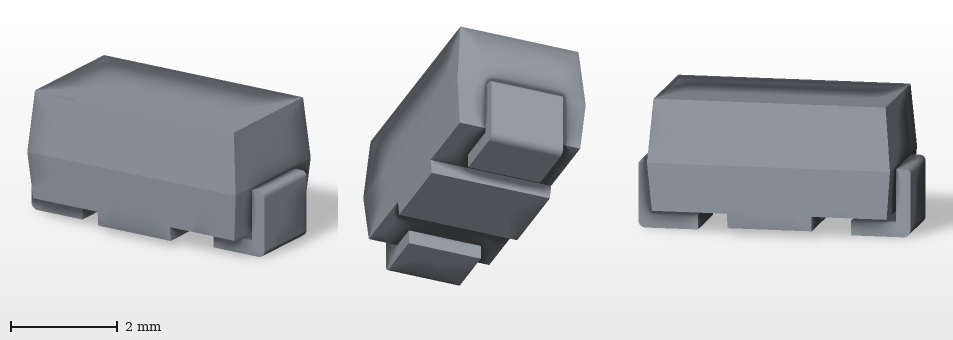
import cadquery as cq

overall_length = 5.2
overall_height = 2.56
parting_length = 4.645
parting_width = 2.6
parting_height = 1.35
draft_inset = 0.105

underside_height = 0.42
standoff_height = 0.14
standoff_length = 1.61

band_start_x = -1.715
band_length = 0.395
band_depth = 0.045

terminal_width = 1.455
upright_thickness = 0.275
upright_height = 1.3
upright_top_radius = 0.105
upright_bottom_radius = 0.14
foot_thickness = 0.28
foot_inner_x = 1.46

drafted_length = parting_length - 2 * draft_inset
drafted_width = parting_width - 2 * draft_inset
upright_inner_x = overall_length / 2 - upright_thickness


def block(length, width, height, center_x, bottom_z):
    """Box centred on Y, placed by its middle in X and its bottom in Z."""
    base = cq.Workplane("XY", origin=(center_x, 0, bottom_z))
    return base.box(length, width, height, centered=(True, True, False))


def drafted_half(end_height):
    """Tapered block from the parting plane to a smaller rectangle at end_height."""
    return (
        cq.Workplane("XY", origin=(0, 0, parting_height))
        .rect(parting_length, parting_width)
        .workplane(offset=end_height - parting_height)
        .rect(drafted_length, drafted_width)
        .loft(ruled=True)
    )


def band_block(width):
    center_x = band_start_x + band_length / 2
    return block(band_length, width, band_depth, center_x, overall_height - band_depth)


def make_upper_housing():
    return drafted_half(overall_height).cut(band_block(parting_width))


def make_lower_housing():
    housing = drafted_half(standoff_height)
    relief_length = (parting_length - standoff_length) / 2
    relief_center_x = (parting_length + standoff_length) / 4
    relief_height = underside_height - standoff_height
    for side in (-1, 1):
        relief = block(relief_length, parting_width, relief_height, side * relief_center_x, standoff_height)
        housing = housing.cut(relief)
    return housing


def make_band():
    return band_block(drafted_width)


def make_upright(side):
    """Upright plate with rounded outer edges; side is -1 or 1 along X."""
    center_x = side * (overall_length - upright_thickness) / 2
    plate = block(upright_thickness, terminal_width, upright_height, center_x, 0)
    outer_face = "<X" if side < 0 else ">X"
    plate = plate.faces(outer_face).edges(">Z").fillet(upright_top_radius)
    return plate.faces(outer_face).edges("<Z").fillet(upright_bottom_radius)


def make_foot(side):
    """Flat foot reaching inward from the upright; side is -1 or 1 along X."""
    length = upright_inner_x - foot_inner_x
    center_x = side * (upright_inner_x + foot_inner_x) / 2
    return block(length, terminal_width, foot_thickness, center_x, 0)


upper_housing = make_upper_housing()
lower_housing = make_lower_housing()
band = make_band()
uprights = [make_upright(side) for side in (-1, 1)]
feet = [make_foot(side) for side in (-1, 1)]

result = cq.Compound.makeCompound(
    [
        upper_housing.val(),
        lower_housing.val(),
        band.val(),
        *[upright.val() for upright in uprights],
        *[foot.val() for foot in feet],
    ]
)